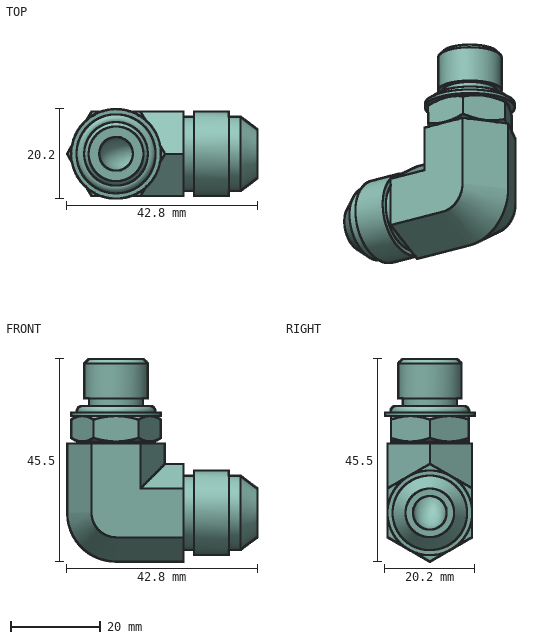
import cadquery as cq
import math

STUD_TOP = 34.55
CONE_END = 31.8
BORE_RADIUS = 3.8
BEND_RADIUS = 4.55

BODY_FLATS = 19.05
BODY_CORNER_RADIUS = BODY_FLATS / math.sqrt(3)
BODY_TOP = 15.57
BODY_END = 15.15

NUT_CORNERS = 20.17
NUT_FLATS = NUT_CORNERS * math.cos(math.pi / 6)
NUT_BOTTOM = 16.05
NUT_TOP = 21.7
NUT_CHAMFER_ANGLE = math.radians(30)
WASHER_TOP = 22.55
RING_OUTER_RADIUS = 8.9
RING_SECTION_RADIUS = 1.35
RING_TOP = 24.05
RING_CENTER_Z = RING_TOP - RING_SECTION_RADIUS

STUD_NECK_RADIUS = 6.1
THREAD_RADIUS = 7.15
THREAD_BOTTOM = 25.7
STUD_CHAMFER = 1.0

PORT_NECK_RADIUS = 8.4
COLLAR_RADIUS = BODY_FLATS / 2
COLLAR_START = 17.5
COLLAR_END = 25.3
CONE_START = 27.9
CONE_ANGLE = math.radians(37)
CONE_TIP_RADIUS = PORT_NECK_RADIUS - (CONE_END - CONE_START) * math.tan(CONE_ANGLE)


def cylinder_z(radius, bottom, top):
    return cq.Workplane("XY").workplane(offset=bottom).circle(radius).extrude(top - bottom)


def cylinder_x(radius, start, end):
    return cq.Workplane("YZ").workplane(offset=start).circle(radius).extrude(end - start)


def elbow_body():
    """Two hexagonal arms joined by a half hexagon revolved about the Y axis."""
    across_corners = 2 * BODY_CORNER_RADIUS
    upright = cq.Workplane("XY").polygon(6, across_corners).extrude(BODY_TOP)
    level = (
        cq.Workplane("YZ")
        .transformed(rotate=(0, 0, 90))
        .polygon(6, across_corners)
        .extrude(BODY_END)
    )
    half_flat = BODY_FLATS / 2
    bend = (
        cq.Workplane("XY")
        .polyline([
            (0, -half_flat),
            (BODY_CORNER_RADIUS / 2, -half_flat),
            (BODY_CORNER_RADIUS, 0),
            (BODY_CORNER_RADIUS / 2, half_flat),
            (0, half_flat),
        ])
        .close()
        .revolve(360, (0, 0), (0, 1))
    )
    return upright.union(level).union(bend)


def lock_nut():
    """Hexagonal nut with its corners turned down at both ends."""
    flat_radius = NUT_FLATS / 2
    corner_radius = NUT_CORNERS / 2
    drop = (corner_radius - flat_radius) * math.tan(NUT_CHAMFER_ANGLE)
    hexagon = (
        cq.Workplane("XY")
        .workplane(offset=NUT_BOTTOM)
        .polygon(6, NUT_CORNERS)
        .extrude(NUT_TOP - NUT_BOTTOM)
    )
    envelope = (
        cq.Workplane("XZ")
        .polyline([
            (0, NUT_BOTTOM),
            (flat_radius, NUT_BOTTOM),
            (corner_radius, NUT_BOTTOM + drop),
            (corner_radius, NUT_TOP - drop),
            (flat_radius, NUT_TOP),
            (0, NUT_TOP),
        ])
        .close()
        .revolve(360, (0, 0), (0, 1))
    )
    return hexagon.intersect(envelope)


def sealing_ring():
    """Round-section ring, pressed slightly into the washer."""
    center_radius = RING_OUTER_RADIUS - RING_SECTION_RADIUS
    return (
        cq.Workplane("XZ")
        .moveTo(center_radius, RING_CENTER_Z)
        .circle(RING_SECTION_RADIUS)
        .revolve(360, (0, 0), (0, 1))
    )


def stud():
    neck = cylinder_z(STUD_NECK_RADIUS, 0, THREAD_BOTTOM)
    washer = cylinder_z(NUT_CORNERS / 2, NUT_TOP, WASHER_TOP)
    thread = cylinder_z(THREAD_RADIUS, THREAD_BOTTOM, STUD_TOP).faces(">Z").chamfer(STUD_CHAMFER)
    return neck.union(lock_nut()).union(washer).union(sealing_ring()).union(thread)


def cone_port():
    neck = cylinder_x(PORT_NECK_RADIUS, 0, CONE_START)
    collar = cylinder_x(COLLAR_RADIUS, COLLAR_START, COLLAR_END)
    cone = (
        cq.Workplane("YZ")
        .workplane(offset=CONE_START)
        .circle(PORT_NECK_RADIUS)
        .workplane(offset=CONE_END - CONE_START)
        .circle(CONE_TIP_RADIUS)
        .loft()
    )
    return neck.union(collar).union(cone)


def bore():
    """Constant round passage following a quarter bend between the two ports."""
    mid_offset = BEND_RADIUS * (1 - math.cos(math.pi / 4))
    path = (
        cq.Workplane("XZ")
        .moveTo(0, STUD_TOP)
        .lineTo(0, BEND_RADIUS)
        .threePointArc((mid_offset, mid_offset), (BEND_RADIUS, 0))
        .lineTo(CONE_END, 0)
    )
    return cq.Workplane("XY").workplane(offset=STUD_TOP).circle(BORE_RADIUS).sweep(path)


result = elbow_body().union(stud()).union(cone_port()).cut(bore())